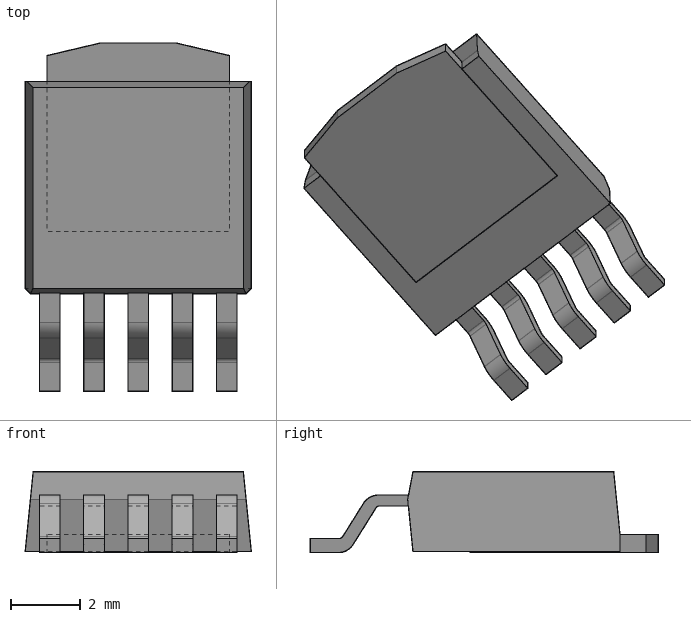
import cadquery as cq
import math

overall_length = 10.0
overall_height = 2.33
tab_end_y = overall_length / 2
lead_tip_y = -overall_length / 2

body_width = 6.5
body_bottom_z = 0.03
body_back_y = tab_end_y - 1.10
parting_y = lead_tip_y + 2.80
parting_z = 1.53
front_inset = 0.15
side_draft = 0.1

tab_width = 5.25
tab_thickness = 0.53
tab_length = 5.41
tab_tip_width = 2.2
tab_taper_length = 0.36

lead_count = 5
lead_pitch = 1.27
lead_width = 0.6
shoulder_top_z = 1.66
shoulder_thickness = 0.32
foot_thickness = 0.41
lead_root_depth = 0.5
slope_angle = 58.0
upper_slope_foot_y = lead_tip_y + 0.90
lower_slope_foot_y = lead_tip_y + 1.09
shoulder_outer_radius = 0.52
shoulder_inner_radius = 0.13
foot_inner_radius = 0.12
foot_outer_radius = 0.5


def make_body():
    """Drafted block: a side profile limited by the taper of the two flanks."""
    front_y = parting_y + front_inset
    back_top_y = body_back_y - side_draft * (overall_height - tab_thickness)
    side_profile = (
        cq.Workplane("YZ")
        .moveTo(front_y, body_bottom_z)
        .lineTo(parting_y, parting_z)
        .lineTo(front_y, overall_height)
        .lineTo(back_top_y, overall_height)
        .lineTo(body_back_y, tab_thickness)
        .lineTo(body_back_y, body_bottom_z)
        .close()
        .extrude(body_width / 2, both=True)
    )
    bottom_x = body_width / 2
    top_x = bottom_x - side_draft * (overall_height - body_bottom_z)
    flank_profile = (
        cq.Workplane("XZ")
        .moveTo(-bottom_x, body_bottom_z)
        .lineTo(bottom_x, body_bottom_z)
        .lineTo(top_x, overall_height)
        .lineTo(-top_x, overall_height)
        .close()
        .extrude(overall_length, both=True)
    )
    return side_profile.intersect(flank_profile)


def make_tab():
    """Flat plate running under the body, narrowed at its free end."""
    tab_inner_y = tab_end_y - tab_length
    taper_start_y = tab_end_y - tab_taper_length
    return (
        cq.Workplane("XY")
        .moveTo(-tab_width / 2, tab_inner_y)
        .lineTo(tab_width / 2, tab_inner_y)
        .lineTo(tab_width / 2, taper_start_y)
        .lineTo(tab_tip_width / 2, tab_end_y)
        .lineTo(-tab_tip_width / 2, tab_end_y)
        .lineTo(-tab_width / 2, taper_start_y)
        .close()
        .extrude(tab_thickness)
    )


def make_lead():
    """One bent lead centred on X = 0, with all four bends rounded."""
    run_per_rise = 1 / math.tan(math.radians(slope_angle))
    shoulder_bottom_z = shoulder_top_z - shoulder_thickness
    root_y = parting_y + lead_root_depth

    upper_rise = shoulder_top_z - foot_thickness
    shoulder_outer = (upper_slope_foot_y + run_per_rise * upper_rise, shoulder_top_z)
    shoulder_inner = (lower_slope_foot_y + run_per_rise * shoulder_bottom_z, shoulder_bottom_z)
    foot_inner = (upper_slope_foot_y, foot_thickness)
    foot_outer = (lower_slope_foot_y, 0)

    lead = (
        cq.Workplane("YZ")
        .moveTo(root_y, shoulder_top_z)
        .lineTo(*shoulder_outer)
        .lineTo(*foot_inner)
        .lineTo(lead_tip_y, foot_thickness)
        .lineTo(lead_tip_y, 0)
        .lineTo(*foot_outer)
        .lineTo(*shoulder_inner)
        .lineTo(root_y, shoulder_bottom_z)
        .close()
        .extrude(lead_width / 2, both=True)
    )
    bends = [
        (shoulder_outer, shoulder_outer_radius),
        (shoulder_inner, shoulder_inner_radius),
        (foot_inner, foot_inner_radius),
        (foot_outer, foot_outer_radius),
    ]
    for (bend_y, bend_z), radius in bends:
        bend_edge = cq.selectors.NearestToPointSelector((0, bend_y, bend_z))
        lead = lead.edges("|X").edges(bend_edge).fillet(radius)
    return lead


result = make_body().union(make_tab())
lead = make_lead()
for index in range(lead_count):
    lead_x = (index - (lead_count - 1) / 2) * lead_pitch
    result = result.union(lead.translate((lead_x, 0, 0)))